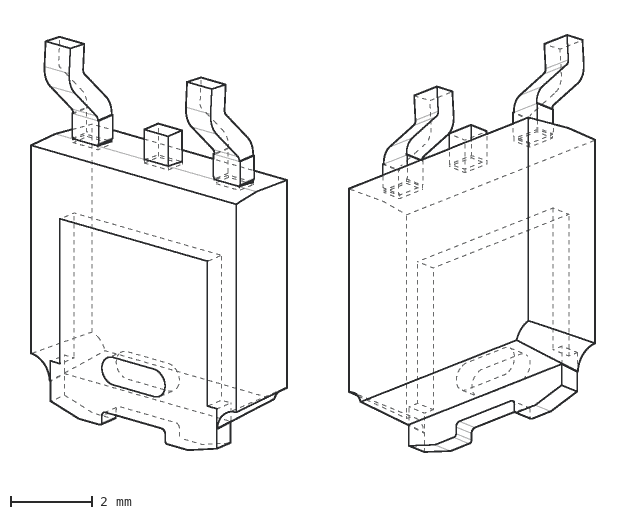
import cadquery as cq
import math


housing_width = 6.5
housing_depth = 2.17
housing_bottom = 0.78
parting_height = 6.86
parting_depth = 0.87
draft_slope = math.tan(math.radians(4.2))
back_top = parting_height - draft_slope * (housing_depth - parting_depth)
corner_radius = 0.59
corner_top = 1.35

metal_thickness = 0.54
tab_top = 5.09
tab_upper_half = 2.33
tab_lower_half = 2.63
tab_shoulder = 1.3
tab_bevel_height = 0.25
tab_foot_half = 1.73
notch_half = 1.0
notch_height = 0.37
notch_inner_radius = 0.12
notch_outer_radius = 0.08
slot_length = 2.0
slot_height = 0.72
slot_center = 1.51

lead_spacing = 4.48
lead_width = 0.79
lead_front = parting_depth
lead_back = lead_front + metal_thickness
lead_foot = back_top
lead_reach = -0.23
lead_tip = 9.72
collar_width = 0.85
collar_bottom = 6.88
collar_top = 7.52
collar_round_width = (collar_width - lead_width) / 2
collar_round_height = 0.06
collar_round_radius = (collar_round_width**2 + collar_round_height**2) / (2 * collar_round_width)
bend_inner_radius = 0.2
bend_outer_radius = bend_inner_radius + metal_thickness
bend_angle = math.radians(45)
tip_lean = math.radians(4)

stub_width = 0.76
stub_top = 7.64


def make_housing():
    """Drafted block with a ridged top and concave lower corners, without its pockets."""
    half_width = housing_width / 2
    back_half_width = half_width - draft_slope * housing_depth
    block = (
        cq.Workplane("YZ")
        .moveTo(0, housing_bottom)
        .lineTo(0, parting_height - draft_slope * parting_depth)
        .lineTo(parting_depth, parting_height)
        .lineTo(housing_depth, back_top)
        .lineTo(housing_depth, housing_bottom + draft_slope * housing_depth)
        .close()
        .extrude(half_width, both=True)
    )
    drafted_sides = (
        cq.Workplane("XY")
        .polyline([
            (-half_width, 0),
            (half_width, 0),
            (back_half_width, housing_depth),
            (-back_half_width, housing_depth),
        ])
        .close()
        .extrude(parting_height)
    )
    corner_reliefs = (
        cq.Workplane("XZ")
        .pushPoints([(side * half_width, corner_top - corner_radius) for side in (-1, 1)])
        .circle(corner_radius)
        .extrude(-housing_depth)
    )
    return block.intersect(drafted_sides).cut(corner_reliefs)


def make_tab():
    """Stepped plate with a notched foot and a slot that the housing fills."""
    plate = (
        cq.Workplane("XZ")
        .polyline([
            (-tab_upper_half, tab_top),
            (tab_upper_half, tab_top),
            (tab_upper_half, tab_shoulder),
            (tab_lower_half, tab_shoulder),
            (tab_lower_half, tab_bevel_height),
            (tab_foot_half, 0),
            (-tab_foot_half, 0),
            (-tab_lower_half, tab_bevel_height),
            (-tab_lower_half, tab_shoulder),
            (-tab_upper_half, tab_shoulder),
        ])
        .close()
        .extrude(-metal_thickness)
    )
    notch = (
        cq.Workplane("XZ")
        .rect(2 * notch_half, 2 * notch_height)
        .extrude(-metal_thickness)
        .edges("|Y and >Z")
        .fillet(notch_inner_radius)
    )
    slot = (
        cq.Workplane("XZ")
        .center(0, slot_center)
        .slot2D(slot_length, slot_height)
        .extrude(-metal_thickness)
    )
    plate = plate.cut(notch)
    notch_mouth = cq.selectors.BoxSelector(
        (-notch_half - notch_outer_radius, -metal_thickness, -notch_outer_radius),
        (notch_half + notch_outer_radius, 2 * metal_thickness, notch_outer_radius),
    )
    plate = plate.edges("|Y").edges(notch_mouth).fillet(notch_outer_radius)
    return plate.cut(slot)


def arc_point(center, radius, angle):
    """Point (Y, Z) on a circle, with the angle measured from +Y toward +Z."""
    return (center[0] + radius * math.cos(angle), center[1] + radius * math.sin(angle))


def make_lead(center_x):
    """Strip bent forward, then back to nearly upright, with a wider collar at its root."""
    lower_center = (lead_front - bend_inner_radius, collar_top)
    upper_center_y = lead_reach + bend_outer_radius
    center_gap = upper_center_y - lower_center[0]
    radius_sum = bend_inner_radius + bend_outer_radius
    slope_length = (radius_sum * math.cos(bend_angle) - center_gap) / math.sin(bend_angle)
    upper_center = (
        upper_center_y,
        collar_top + radius_sum * math.sin(bend_angle) + slope_length * math.cos(bend_angle),
    )

    upper_start = math.pi + bend_angle
    upper_end = math.pi - tip_lean
    upper_middle = (upper_start + upper_end) / 2
    front_bend_end = arc_point(upper_center, bend_outer_radius, upper_end)
    tip_rise = lead_tip - front_bend_end[1]
    tip_front = (front_bend_end[0] + tip_rise * math.tan(tip_lean), lead_tip)
    tip_back = (
        tip_front[0] + metal_thickness * math.cos(tip_lean),
        tip_front[1] - metal_thickness * math.sin(tip_lean),
    )

    strip = (
        cq.Workplane("YZ", origin=(center_x, 0, 0))
        .moveTo(lead_front, lead_foot)
        .lineTo(lead_front, collar_top)
        .threePointArc(
            arc_point(lower_center, bend_inner_radius, bend_angle / 2),
            arc_point(lower_center, bend_inner_radius, bend_angle),
        )
        .lineTo(*arc_point(upper_center, bend_outer_radius, upper_start))
        .threePointArc(arc_point(upper_center, bend_outer_radius, upper_middle), front_bend_end)
        .lineTo(*tip_front)
        .lineTo(*tip_back)
        .lineTo(*arc_point(upper_center, bend_inner_radius, upper_end))
        .threePointArc(
            arc_point(upper_center, bend_inner_radius, upper_middle),
            arc_point(upper_center, bend_inner_radius, upper_start),
        )
        .lineTo(*arc_point(lower_center, bend_outer_radius, bend_angle))
        .threePointArc(
            arc_point(lower_center, bend_outer_radius, bend_angle / 2),
            (lead_back, collar_top),
        )
        .lineTo(lead_back, lead_foot)
        .close()
        .extrude(lead_width / 2, both=True)
    )
    half_collar = collar_width / 2
    half_root = lead_width / 2
    round_top = collar_bottom + collar_round_height
    collar = (
        cq.Workplane("XZ", origin=(center_x, lead_front, 0))
        .moveTo(half_collar, collar_top)
        .lineTo(half_collar, round_top)
        .radiusArc((half_root, collar_bottom), collar_round_radius)
        .lineTo(-half_root, collar_bottom)
        .radiusArc((-half_collar, round_top), collar_round_radius)
        .lineTo(-half_collar, collar_top)
        .close()
        .extrude(-metal_thickness)
    )
    return strip.union(collar)


def make_stub():
    """Cropped centre lead."""
    return cq.Workplane("XY", origin=(0, lead_front, lead_foot)).box(
        stub_width, metal_thickness, stub_top - lead_foot, centered=(True, False, False)
    )


tab = make_tab()
stub = make_stub()
leads = [make_lead(side * lead_spacing / 2) for side in (-1, 1)]

housing = make_housing()
for metal_part in (tab, stub, *leads):
    housing = housing.cut(metal_part)

result = cq.Compound.makeCompound([
    housing.val(),
    tab.val(),
    stub.val(),
    *[lead.val() for lead in leads],
])